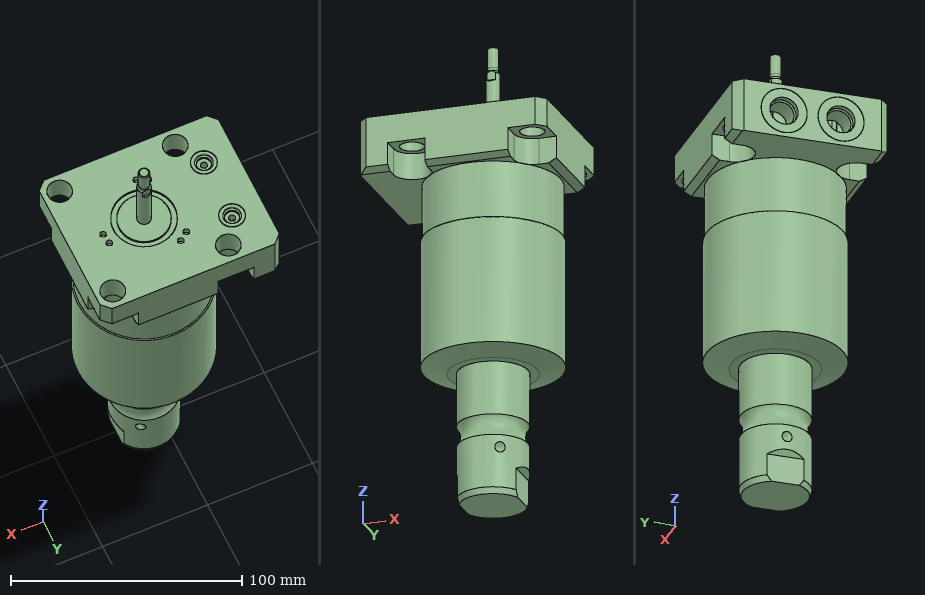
import cadquery as cq
import math


PLATE_LEFT = -50.0
PLATE_RIGHT = 35.5
PLATE_WIDTH = 70.87
PLATE_THICKNESS = 25.0
CORNER_CHAMFER = 4.0
BOTTOM_CHAMFER_HEIGHT = 2.0
BOTTOM_CHAMFER_ANGLE = 30.0

BOLT_SPACING = 55.0
BOLT_HOLE_DIAMETER = 11.0
BOLT_POCKET_DIAMETER = 17.0
BOLT_POCKET_HEIGHT = 12.0

RING_OUTER_DIAMETER = 28.8
RING_INNER_DIAMETER = 23.6
RING_DEPTH = 1.0
PIN_CIRCLE_RADIUS = 19.5
PIN_HOLE_DIAMETER = 2.8
PIN_HOLE_DEPTH = 3.0
PIN_GROUP_COUNT = 3
PIN_PAIR_ANGLE = 15.0

SEAL_X = -35.2
SEAL_SPACING = 29.2
SEAL_SEAT_DIAMETER = 11.6
SEAL_SECTION_RADIUS = 0.9
SEAL_PROTRUSION = 0.4
SEAL_OVERLAP = 0.02
SEAL_BORE_DIAMETER = 6.6
SEAL_BORE_DEPTH = 2.5
FEED_HOLE_DIAMETER = 3.0
FEED_HOLE_DEPTH = 14.3

PORT_SPACING = 26.0
PORT_DEPTH = 13.7
PORT_BORE_DIAMETER = 11.4
PORT_MOUTH_DIAMETER = 12.8
PORT_MOUTH_DEPTH = 3.0
PORT_FACE_DIAMETER = 21.0
PORT_FACE_DEPTH = 0.2

COLLAR_RADIUS = 30.75
BODY_RADIUS = 31.5
CONE_END_RADIUS = 20.0
NECK_RADIUS = 15.9
COLLAR_BOTTOM = -51.0
BODY_BOTTOM = -109.0
CONE_BOTTOM = -112.0
GROOVE_TOP = -136.5
GROOVE_BOTTOM = -146.0
GROOVE_DEPTH = 1.7
TIP_BOTTOM = -173.09
TIP_CHAMFER_HEIGHT = 2.8
TIP_END_RADIUS = 14.9

DIMPLE_COUNT = 3
DIMPLE_FIRST_ANGLE = 60.0
DIMPLE_DIAMETER = 4.8
DIMPLE_Z = -151.7
FLAT_HALF_WIDTH = 13.5
FLAT_TOP = -160.3

SPINDLE_TOP = 39.0
SPINDLE_RADIUS = 3.15
SPINDLE_END_RADIUS = 2.5
SPINDLE_NECK_RADIUS = 2.35
SPINDLE_END_CHAMFER = 0.5
SPINDLE_TAPER_TOP = SPINDLE_TOP - 9.6
SPINDLE_TAPER_BOTTOM = SPINDLE_TOP - 10.9
SPINDLE_SHOULDER_BOTTOM = SPINDLE_TOP - 12.2
SPINDLE_RUN_OUT_BOTTOM = SPINDLE_TOP - 16.0

HALF_WIDTH = PLATE_WIDTH / 2
HALF_BOLT_SPACING = BOLT_SPACING / 2


def box(x_min, x_max, y_min, y_max, z_min, z_max):
    """Axis-aligned box given by its limits."""
    return cq.Workplane("XY").box(
        x_max - x_min, y_max - y_min, z_max - z_min, centered=False
    ).translate((x_min, y_min, z_min))


def disc(x, y, diameter, z_min, z_max):
    """Upright cylinder given by its axis, diameter and heights."""
    return cq.Workplane("XY", origin=(x, y, z_min)).circle(diameter / 2).extrude(z_max - z_min)


def bolt_pocket(x_side, y_side):
    """Round-ended clearance under a bolt hole, open to the plate's edges."""
    radius = BOLT_POCKET_DIAMETER / 2
    x = x_side * HALF_BOLT_SPACING
    y = y_side * HALF_BOLT_SPACING
    bottom = -PLATE_THICKNESS
    top = bottom + BOLT_POCKET_HEIGHT
    y_edge = y_side * HALF_WIDTH
    y_low, y_high = sorted((y, y_edge))
    pocket = disc(x, y, BOLT_POCKET_DIAMETER, bottom, top)
    pocket = pocket.union(box(x - radius, x + radius, y_low, y_high, bottom, top))
    if x_side > 0:
        y_low, y_high = sorted((y - y_side * radius, y_edge))
        pocket = pocket.union(box(x, PLATE_RIGHT, y_low, y_high, bottom, top))
    return pocket


def mounting_plate():
    """Chamfered rectangular plate with its four bolt pockets."""
    plate = box(PLATE_LEFT, PLATE_RIGHT, -HALF_WIDTH, HALF_WIDTH, -PLATE_THICKNESS, 0)
    plate = plate.edges("|Z").chamfer(CORNER_CHAMFER)

    inset = BOTTOM_CHAMFER_HEIGHT / math.tan(math.radians(BOTTOM_CHAMFER_ANGLE))
    bevel_top = BOTTOM_CHAMFER_HEIGHT - PLATE_THICKNESS
    for y_side in (-1, 1):
        edge = [
            (y_side * HALF_WIDTH, bevel_top),
            (y_side * HALF_WIDTH, -PLATE_THICKNESS),
            (y_side * (HALF_WIDTH - inset), -PLATE_THICKNESS),
        ]
        bevel = cq.Workplane("YZ", origin=(PLATE_LEFT, 0, 0)).polyline(edge).close()
        plate = plate.cut(bevel.extrude(PLATE_RIGHT - PLATE_LEFT))
    edge = [
        (PLATE_RIGHT, bevel_top),
        (PLATE_RIGHT, -PLATE_THICKNESS),
        (PLATE_RIGHT - inset, -PLATE_THICKNESS),
    ]
    plate = plate.cut(cq.Workplane("XZ").polyline(edge).close().extrude(HALF_WIDTH, both=True))

    for x_side in (-1, 1):
        for y_side in (-1, 1):
            plate = plate.cut(bolt_pocket(x_side, y_side))
    return plate


def bolt_holes():
    """The four through holes of the plate."""
    return (
        cq.Workplane("XY")
        .rect(BOLT_SPACING, BOLT_SPACING, forConstruction=True)
        .vertices()
        .circle(BOLT_HOLE_DIAMETER / 2)
        .extrude(-PLATE_THICKNESS)
    )


def ring_groove():
    """Shallow annular groove around the spindle."""
    outer = disc(0, 0, RING_OUTER_DIAMETER, -RING_DEPTH, 0)
    return outer.cut(disc(0, 0, RING_INNER_DIAMETER, -RING_DEPTH, 0))


def pin_holes():
    """Pairs of small blind holes, spread evenly around the spindle."""
    points = []
    for group in range(PIN_GROUP_COUNT):
        for offset in (0, PIN_PAIR_ANGLE):
            angle = math.radians(360 * group / PIN_GROUP_COUNT + offset)
            points.append((PIN_CIRCLE_RADIUS * math.cos(angle), PIN_CIRCLE_RADIUS * math.sin(angle)))
    return cq.Workplane("XY").pushPoints(points).circle(PIN_HOLE_DIAMETER / 2).extrude(-PIN_HOLE_DEPTH)


def seal_seat(y):
    """O-ring seat, stepped bore and feed hole of one top connection."""
    seat_depth = 2 * SEAL_SECTION_RADIUS - SEAL_PROTRUSION
    seat = disc(SEAL_X, y, SEAL_SEAT_DIAMETER, -seat_depth, 0)
    seat = seat.union(disc(SEAL_X, y, SEAL_BORE_DIAMETER, -SEAL_BORE_DEPTH, 0))
    return seat.union(disc(SEAL_X, y, FEED_HOLE_DIAMETER, -FEED_HOLE_DEPTH, 0))


def seal_ring(y):
    """O-ring standing slightly proud of the top face and pressed into the floor and wall of its seat."""
    ring_radius = SEAL_SEAT_DIAMETER / 2 - SEAL_SECTION_RADIUS + SEAL_OVERLAP
    ring_z = SEAL_PROTRUSION - SEAL_SECTION_RADIUS - SEAL_OVERLAP
    ring = cq.Workplane("XZ").center(ring_radius, 0).circle(SEAL_SECTION_RADIUS)
    ring = ring.revolve(360, (-ring_radius, 0), (-ring_radius, 1))
    return ring.translate((SEAL_X, y, ring_z))


def side_port(y):
    """Spot-faced port with a wider, tapering mouth, bored inward from the left face."""
    bore_radius = PORT_BORE_DIAMETER / 2
    mouth_radius = PORT_MOUTH_DIAMETER / 2
    mouth_end = PORT_MOUTH_DEPTH + mouth_radius - bore_radius
    profile = [
        (0, 0),
        (0, PORT_FACE_DIAMETER / 2),
        (PORT_FACE_DEPTH, PORT_FACE_DIAMETER / 2),
        (PORT_FACE_DEPTH, mouth_radius),
        (PORT_MOUTH_DEPTH, mouth_radius),
        (mouth_end, bore_radius),
        (PORT_DEPTH, bore_radius),
        (PORT_DEPTH, 0),
    ]
    port = cq.Workplane("XY").polyline(profile).close().revolve(360, (0, 0), (1, 0))
    return port.translate((PLATE_LEFT, y, -PLATE_THICKNESS / 2))


def turned_body():
    """Collar, body, cone, grooved neck and chamfered tip, turned about the spindle axis."""
    groove_middle = (NECK_RADIUS - GROOVE_DEPTH, (GROOVE_TOP + GROOVE_BOTTOM) / 2)
    return (
        cq.Workplane("XZ")
        .moveTo(0, -PLATE_THICKNESS)
        .lineTo(COLLAR_RADIUS, -PLATE_THICKNESS)
        .lineTo(COLLAR_RADIUS, COLLAR_BOTTOM)
        .lineTo(BODY_RADIUS, COLLAR_BOTTOM)
        .lineTo(BODY_RADIUS, BODY_BOTTOM)
        .lineTo(CONE_END_RADIUS, CONE_BOTTOM)
        .lineTo(NECK_RADIUS, CONE_BOTTOM)
        .lineTo(NECK_RADIUS, GROOVE_TOP)
        .threePointArc(groove_middle, (NECK_RADIUS, GROOVE_BOTTOM))
        .lineTo(NECK_RADIUS, TIP_BOTTOM + TIP_CHAMFER_HEIGHT)
        .lineTo(TIP_END_RADIUS, TIP_BOTTOM)
        .lineTo(0, TIP_BOTTOM)
        .close()
        .revolve(360, (0, 0), (0, 1))
    )


def tip_flat(x_side):
    """Flat on one side of the tip, running out upward at 45 degrees."""
    run_out = NECK_RADIUS - FLAT_HALF_WIDTH
    profile = [
        (x_side * FLAT_HALF_WIDTH, TIP_BOTTOM),
        (x_side * FLAT_HALF_WIDTH, FLAT_TOP),
        (x_side * NECK_RADIUS, FLAT_TOP + run_out),
        (x_side * NECK_RADIUS, TIP_BOTTOM),
    ]
    return cq.Workplane("XZ").polyline(profile).close().extrude(NECK_RADIUS, both=True)


def dimples():
    """Right-angled conical dimples spread around the neck."""
    radius = DIMPLE_DIAMETER / 2
    profile = [
        (NECK_RADIUS - radius, 0),
        (NECK_RADIUS + radius, 0),
        (NECK_RADIUS + radius, 2 * radius),
    ]
    cone = cq.Workplane("XY").polyline(profile).close().revolve(360, (0, 0), (1, 0))
    cone = cone.translate((0, 0, DIMPLE_Z))
    cones = cq.Workplane("XY")
    for index in range(DIMPLE_COUNT):
        angle = DIMPLE_FIRST_ANGLE + 360 * index / DIMPLE_COUNT
        cones = cones.add(cone.rotate((0, 0, 0), (0, 0, 1), angle))
    return cones.combine()


def spindle():
    """Stepped spindle with a coned shoulder and two flats that run out downward at 45 degrees."""
    profile = [
        (0, -RING_DEPTH),
        (SPINDLE_RADIUS, -RING_DEPTH),
        (SPINDLE_RADIUS, SPINDLE_SHOULDER_BOTTOM),
        (SPINDLE_NECK_RADIUS, SPINDLE_TAPER_BOTTOM),
        (SPINDLE_END_RADIUS, SPINDLE_TAPER_TOP),
        (SPINDLE_END_RADIUS, SPINDLE_TOP - SPINDLE_END_CHAMFER),
        (SPINDLE_END_RADIUS - SPINDLE_END_CHAMFER, SPINDLE_TOP),
        (0, SPINDLE_TOP),
    ]
    shaft = cq.Workplane("XZ").polyline(profile).close().revolve(360, (0, 0), (0, 1))
    run_out = SPINDLE_RADIUS - SPINDLE_END_RADIUS
    for y_side in (-1, 1):
        flat = [
            (y_side * SPINDLE_END_RADIUS, SPINDLE_TAPER_BOTTOM),
            (y_side * SPINDLE_END_RADIUS, SPINDLE_RUN_OUT_BOTTOM + run_out),
            (y_side * SPINDLE_RADIUS, SPINDLE_RUN_OUT_BOTTOM),
            (y_side * SPINDLE_RADIUS, SPINDLE_TAPER_BOTTOM),
        ]
        cutter = cq.Workplane("YZ").polyline(flat).close().extrude(SPINDLE_RADIUS, both=True)
        shaft = shaft.cut(cutter)
    return shaft


part = mounting_plate().union(turned_body())
part = part.cut(bolt_holes()).cut(ring_groove()).cut(pin_holes())
for side in (-1, 1):
    part = part.cut(side_port(side * PORT_SPACING / 2))
    part = part.cut(seal_seat(side * SEAL_SPACING / 2))
    part = part.union(seal_ring(side * SEAL_SPACING / 2))
    part = part.cut(tip_flat(side))
part = part.cut(dimples())
result = part.union(spindle())